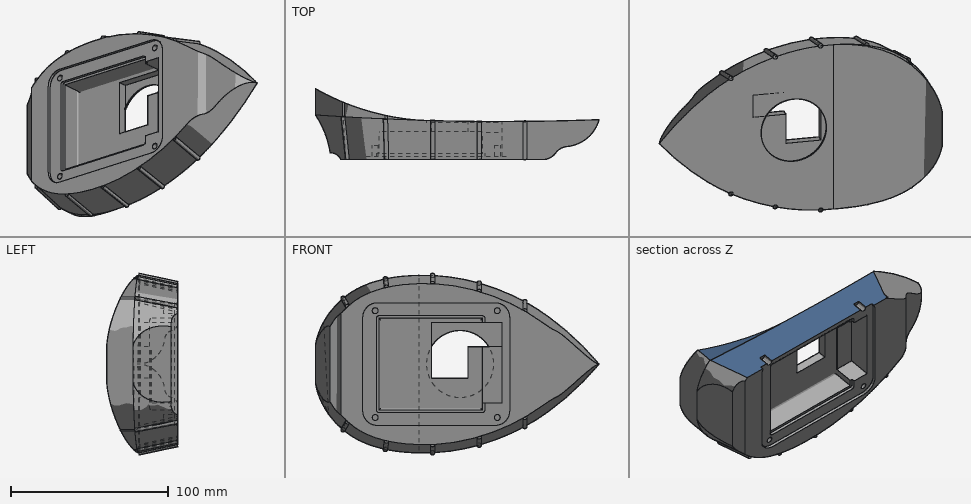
import cadquery as cq
import math


LENGTH = 180.0
HEIGHT = 45.2

SHEER_LOW_X = 117.0
SHEER_LOW_Y = 24.3
SHEER_RADIUS = 1665.2
SHEER_STERN_Y = SHEER_LOW_Y + SHEER_RADIUS - math.sqrt(SHEER_RADIUS**2 - SHEER_LOW_X**2)

SHEER_OUTLINE = [
    (0, 11.9), (4.3, 25.0), (13.0, 37.3), (26.1, 47.5), (43.2, 53.8), (64.8, 56.3),
    (86.8, 55.0), (108.4, 50.0), (130.2, 41.0), (151.8, 27.2), (LENGTH, 0),
]
SIDE_SLOPE = math.tan(math.radians(12))
SIDE_STATIONS = 24
BISECTION_STEPS = 40
BLANK_TOP_Y = 28.8

STERN_HOLLOW = [(6.3, 16.2), (9.4, 4.3)]
STERN_COVE = [(13.7, 3.0), (16.2, 0)]
BOW_START_X = 144.4
BOW_FOOT = [(149.0, 1.3), (152.5, 4.3)]
BOW_COVE = [(155.5, 7.0), (159.7, 8.3)]
BOW_STEM = [(172.5, 13.7)]

BULWARK_LOW_X = 77.4
BULWARK_LOW_Y = 24.7
BULWARK_RISE = HEIGHT - BULWARK_LOW_Y
BULWARK_TOP_RADIUS = (BULWARK_LOW_X**2 + BULWARK_RISE**2) / (2 * BULWARK_RISE)

RIBS = [(20.5, 17.6), (45.2, 44.5), (74.3, 74.3), (103.9, 103.9), (132.9, 132.9)]
RIB_RADIUS = 1.5
BULWARK_RIBS = 2
BULWARK_RIB_PROUD = 0.2

LID_CENTER_X = 76.7
LID_LENGTH = 93.3
LID_WIDTH = 77.8
LID_CORNER_RADIUS = 9.4
LID_DEPTH = 2.0
SCREW_SPACING_X = 77.4
SCREW_SPACING_Z = 67.7
SCREW_DIAMETER = 3.8
SCREW_DEPTH = 9.0
POCKET_X = (40.3, 106.0)
POCKET_Z = (-29.2, 29.2)
POCKET_DEPTH = 17.8
POCKET_FLOOR_FILLET = 1.3
RIM_MARGIN = 1.6
RIM_DEPTH = LID_DEPTH + 2.0
RIM_CORNER_RADIUS = 2.0
BAY_X = (POCKET_X[1], 118.3)
BAY_Z = (-24.7, 26.3)
BAY_DEPTH = 17.3
SLOT_X = (73.8, BAY_X[1])
SLOT_Z = (11.2, BAY_Z[1])
SLOT_DEPTH = 23.5
WINDOW_X = (SLOT_X[0], 96.7)
WINDOW_Z = (-8.8, SLOT_Z[0])
DECK_HOLE_X = 91.8
DECK_HOLE_RADIUS = 21.2


def sheer_y(x):
    """Height of the sheer line at a place along the boat."""
    return SHEER_LOW_Y + SHEER_RADIUS - math.sqrt(SHEER_RADIUS**2 - (x - SHEER_LOW_X) ** 2)


def extrude_across(profile):
    """Extrude a closed XY profile across the full width of the boat."""
    return profile.extrude(LENGTH, both=True)


def keel_box(x_range, z_range, depth):
    """Box that stands on the keel face plane and reaches up to a depth."""
    length = x_range[1] - x_range[0]
    width = z_range[1] - z_range[0]
    return (
        cq.Workplane("XY")
        .box(length, depth, width, centered=False)
        .translate((x_range[0], 0, z_range[0]))
    )


sheer_side = cq.Edge.makeSpline([cq.Vector(x, 0, z) for x, z in SHEER_OUTLINE])


def outward_normal(fraction):
    """Outward direction of the side outline, in plan."""
    tangent = sheer_side.tangentAt(fraction)
    return cq.Vector(-tangent.z, 0, tangent.x).normalized()


def side_curve(height):
    """Side outline at one height, leaned along its normals from the sheer line."""
    points = []
    for station in range(SIDE_STATIONS + 1):
        fraction = station / SIDE_STATIONS
        base = sheer_side.positionAt(fraction)
        normal = outward_normal(fraction)
        lean = (height - sheer_y(base.x)) * SIDE_SLOPE
        if station == 0:
            shift = cq.Vector(-lean, 0, lean * (1 + normal.x) / normal.z)
        elif station == SIDE_STATIONS:
            shift = cq.Vector(lean / normal.x, 0, 0)
        else:
            shift = normal * lean
        points.append(base + shift + cq.Vector(0, height, 0))
    return cq.Edge.makeSpline(points)


def close_outline(side):
    """Closed plan outline from one side, its mirror image and the transom."""
    other_side = side.mirror("XY")
    transom = cq.Edge.makeLine(other_side.startPoint(), side.startPoint())
    return cq.Wire.assembleEdges([transom, side, other_side])


def point_at_x(curve, x):
    """Point of a side curve at a place along the boat, found by bisection."""
    low = 0.0
    high = 1.0
    for _ in range(BISECTION_STEPS):
        middle = (low + high) / 2
        if curve.positionAt(middle).x < x:
            low = middle
        else:
            high = middle
    return curve.positionAt(low)


keel_side = side_curve(0)


def hull_blank():
    """Leaning sides, trimmed by the keel profile below and the sheer above."""
    outlines = [close_outline(keel_side), close_outline(side_curve(BLANK_TOP_Y))]
    sides = cq.Workplane(cq.Solid.makeLoft(outlines, True))
    profile = (
        cq.Workplane("XY")
        .moveTo(0, SHEER_STERN_Y)
        .threePointArc(*STERN_HOLLOW)
        .threePointArc(*STERN_COVE)
        .lineTo(BOW_START_X, 0)
        .threePointArc(*BOW_FOOT)
        .threePointArc(*BOW_COVE)
        .threePointArc(*BOW_STEM, (LENGTH, sheer_y(LENGTH)))
        .threePointArc((SHEER_LOW_X, SHEER_LOW_Y), (0, SHEER_STERN_Y))
        .close()
    )
    return sides.intersect(extrude_across(profile))


def hull_rib(keel_x, sheer_x):
    """Half-buried round rib up one side, squared off at both ends."""
    foot = point_at_x(keel_side, keel_x)
    top = point_at_x(sheer_side, sheer_x) + cq.Vector(0, sheer_y(sheer_x), 0)
    axis = (top - foot).normalized()
    start = foot + axis * (RIB_RADIUS * SIDE_SLOPE)
    return cq.Workplane(cq.Solid.makeCylinder(RIB_RADIUS, (top - start).Length, start, axis))


def lid_seat():
    """Shallow rounded recess with four screw holes."""
    keel_plane = cq.Workplane("XZ", origin=(LID_CENTER_X, 0, 0))
    recess = keel_plane.rect(LID_LENGTH, LID_WIDTH).extrude(-LID_DEPTH)
    recess = recess.edges("|Y").fillet(LID_CORNER_RADIUS)
    screws = (
        keel_plane.rect(SCREW_SPACING_X, SCREW_SPACING_Z, forConstruction=True)
        .vertices()
        .circle(SCREW_DIAMETER / 2)
        .extrude(-SCREW_DEPTH)
    )
    return recess.union(screws)


def compartment():
    """Pocket with its rim, side bay, floor slot and the round hole in the deck."""
    rim_x = (POCKET_X[0] - RIM_MARGIN, POCKET_X[1] + RIM_MARGIN)
    rim_z = (POCKET_Z[0] - RIM_MARGIN, POCKET_Z[1] + RIM_MARGIN)
    rim = keel_box(rim_x, rim_z, RIM_DEPTH).edges("|Y").fillet(RIM_CORNER_RADIUS)
    pocket = keel_box(POCKET_X, POCKET_Z, POCKET_DEPTH).faces(">Y").edges().fillet(POCKET_FLOOR_FILLET)
    deck_hole = (
        cq.Workplane("XZ", origin=(DECK_HOLE_X, SLOT_DEPTH, 0))
        .circle(DECK_HOLE_RADIUS)
        .extrude(SLOT_DEPTH - HEIGHT)
    )
    return (
        pocket.union(rim)
        .union(keel_box(BAY_X, BAY_Z, BAY_DEPTH))
        .union(keel_box(SLOT_X, SLOT_Z, SLOT_DEPTH))
        .union(keel_box(WINDOW_X, WINDOW_Z, SLOT_DEPTH))
        .union(deck_hole)
    )


def make_hull():
    half_space = keel_box((0, LENGTH), (0, LENGTH), HEIGHT)
    half_hull = hull_blank().intersect(half_space)
    for keel_x, sheer_x in RIBS:
        half_hull = half_hull.union(hull_rib(keel_x, sheer_x))
    hull = half_hull.union(half_hull.mirror("XY"))
    return hull.cut(lid_seat()).cut(compartment())


def bulwark_rib(x):
    """Upright round rib that stands slightly proud of the bulwark side."""
    foot = point_at_x(sheer_side, x)
    centerward = cq.Vector(BULWARK_LOW_X - foot.x, 0, -foot.z).normalized()
    start = foot + centerward * (RIB_RADIUS - BULWARK_RIB_PROUD)
    return cq.Workplane(cq.Solid.makeCylinder(RIB_RADIUS, HEIGHT, start, cq.Vector(0, 1, 0)))


def make_bulwark(hull):
    """Upright stern block between the sheer line and a hollow cylindrical top."""
    outline = close_outline(sheer_side)
    block = cq.Workplane(cq.Solid.extrudeLinear(outline, [], cq.Vector(0, HEIGHT, 0)))
    for _, sheer_x in RIBS[:BULWARK_RIBS]:
        rib = bulwark_rib(sheer_x)
        block = block.union(rib).union(rib.mirror("XY"))
    sheer_arc_middle = (BULWARK_LOW_X / 2, sheer_y(BULWARK_LOW_X / 2))
    above_sheer = (
        cq.Workplane("XY")
        .moveTo(0, SHEER_STERN_Y)
        .threePointArc(sheer_arc_middle, (BULWARK_LOW_X, sheer_y(BULWARK_LOW_X)))
        .lineTo(BULWARK_LOW_X, HEIGHT)
        .lineTo(0, HEIGHT)
        .close()
    )
    hollow = (
        cq.Workplane("XY")
        .center(BULWARK_LOW_X, BULWARK_LOW_Y + BULWARK_TOP_RADIUS)
        .circle(BULWARK_TOP_RADIUS)
    )
    bulwark = block.intersect(extrude_across(above_sheer)).cut(extrude_across(hollow))
    return bulwark.cut(hull)


hull = make_hull()
bulwark = make_bulwark(hull)

result = cq.Compound.makeCompound([*hull.solids().vals(), *bulwark.solids().vals()])